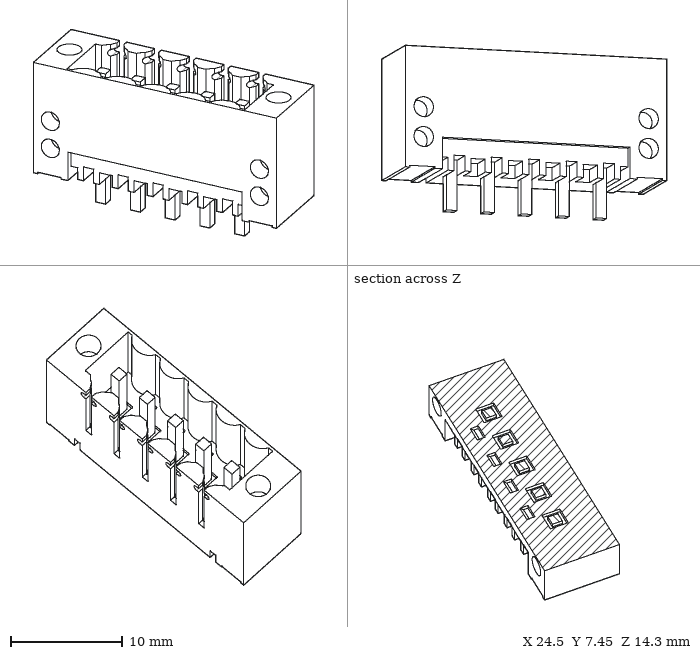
import cadquery as cq
import math


LENGTH = 24.5
DEPTH = 7.45
HEIGHT = 11.07

PIN_COUNT = 5
PITCH = 3.5
PIN_SIZE = 1.0
PIN_Y = 3.5
PIN_TOP = 9.87
PIN_BOTTOM = -3.18
PIN_FRONT = PIN_Y - PIN_SIZE / 2

CAVITY_LENGTH = 17.93
CAVITY_FRONT = 0.27
CAVITY_BACK = 5.83
FLOOR_Z = 4.0
CAVITY_HEIGHT = HEIGHT - FLOOR_Z

RIB_RADIUS = 1.65
FLUTE_RADIUS = 1.67
RIB_CREST_Y = 1.15
FLUTE_CENTRE_Y = 4.83
FLUTE_BOTTOM_Y = 6.93
FLUTE_CORNER_X = 0.7

NOTCH_WIDTH = 0.69
NOTCH_STEP = 0.37
NOTCH_BOTTOM = FLOOR_Z + NOTCH_STEP
LATCH_WIDTH = 1.85
LATCH_HEIGHT = 0.64
LATCH_BOTTOM = 9.92

FLOOR_RECESS_DEPTH = 0.37
PIN_RECESS_SIZE = 1.75
KEY_LENGTH = 1.42
KEY_FRONT = 1.15
KEY_BACK = 1.95

FACE_RECESS_LENGTH = 17.55
FACE_RECESS_DEPTH = 0.61
FACE_RECESS_HEIGHT = 2.87
FEET_LENGTH = 16.17
FOOT_HEIGHT = 1.18
FOOT_GAP = 1.3
PIN_SLOT_HEIGHT = 1.4
END_GROOVE_LENGTH = 2.35
END_GROOVE_HEIGHT = 0.15
END_GROOVE_X = 10.65

END_HOLE_X = 10.54
TOP_HOLE_Y = 3.77
TOP_HOLE_DIAMETER = 2.23
TOP_HOLE_DEPTH = 2.95
FRONT_HOLE_DIAMETER = 1.81
FRONT_HOLE_DEPTH = 1.95
FRONT_HOLE_HEIGHTS = [2.85, 5.55]

SIDES = (-1, 1)
PIN_XS = [(i - (PIN_COUNT - 1) / 2) * PITCH for i in range(PIN_COUNT)]
GAP_XS = [x + PITCH / 2 for x in PIN_XS[:-1]]


def box(x, length, y_front, y_back, z_bottom, z_top):
    """Box centred on x, between the given Y and Z limits."""
    return (
        cq.Workplane("XY")
        .box(length, y_back - y_front, z_top - z_bottom, centered=(True, False, False))
        .translate((x, y_front, z_bottom))
    )


def front_rib(x):
    """Rounded rib on the front wall of the cavity, up to the housing top."""
    centre_y = RIB_CREST_Y - RIB_RADIUS
    half_chord = math.sqrt(RIB_RADIUS**2 - (CAVITY_FRONT - centre_y) ** 2)
    return (
        cq.Workplane("XY", origin=(x, 0, FLOOR_Z))
        .moveTo(-half_chord, CAVITY_FRONT)
        .threePointArc((0, RIB_CREST_Y), (half_chord, CAVITY_FRONT))
        .close()
        .extrude(CAVITY_HEIGHT)
    )


def back_flute(x):
    """Flute in the back wall: an arc on each side, leading by a slanted face to a flat bottom."""

    def arc_y(dx):
        return FLUTE_CENTRE_Y + math.sqrt(FLUTE_RADIUS**2 - dx**2)

    mouth_x = math.sqrt(FLUTE_RADIUS**2 - (CAVITY_BACK - FLUTE_CENTRE_Y) ** 2)
    mid_x = (mouth_x + FLUTE_CORNER_X) / 2
    bottom_x = NOTCH_WIDTH / 2
    return (
        cq.Workplane("XY", origin=(x, 0, FLOOR_Z))
        .moveTo(-mouth_x, CAVITY_BACK)
        .threePointArc((-mid_x, arc_y(mid_x)), (-FLUTE_CORNER_X, arc_y(FLUTE_CORNER_X)))
        .lineTo(-bottom_x, FLUTE_BOTTOM_Y)
        .lineTo(bottom_x, FLUTE_BOTTOM_Y)
        .lineTo(FLUTE_CORNER_X, arc_y(FLUTE_CORNER_X))
        .threePointArc((mid_x, arc_y(mid_x)), (mouth_x, CAVITY_BACK))
        .close()
        .extrude(CAVITY_HEIGHT)
    )


def latch_opening(x):
    """Narrow notch through the back wall, crossed near its top by a wider round-ended slot."""
    slot = (
        cq.Workplane("XZ", origin=(x, DEPTH, LATCH_BOTTOM + LATCH_HEIGHT / 2))
        .slot2D(LATCH_WIDTH, LATCH_HEIGHT)
        .extrude(DEPTH - CAVITY_BACK)
    )
    return slot.union(box(x, NOTCH_WIDTH, CAVITY_BACK, DEPTH, NOTCH_BOTTOM, HEIGHT))


def pin_recess(x):
    """Shallow square recess in the cavity floor around a pin."""
    half = PIN_RECESS_SIZE / 2
    return box(x, PIN_RECESS_SIZE, PIN_Y - half, PIN_Y + half, FLOOR_Z - FLOOR_RECESS_DEPTH, FLOOR_Z)


def key_recess(x):
    """Floor recess between two pins, with a 45 degree ramp at its front."""
    bottom_z = FLOOR_Z - FLOOR_RECESS_DEPTH
    return (
        cq.Workplane("YZ", origin=(x - KEY_LENGTH / 2, 0, 0))
        .moveTo(KEY_FRONT, FLOOR_Z)
        .lineTo(KEY_FRONT + FLOOR_RECESS_DEPTH, bottom_z)
        .lineTo(KEY_BACK, bottom_z)
        .lineTo(KEY_BACK, FLOOR_Z)
        .close()
        .extrude(KEY_LENGTH)
    )


def cut_cavity(body):
    """Open the plug cavity, with its scalloped walls, latch openings and floor recesses."""
    cavity = box(0, CAVITY_LENGTH, CAVITY_FRONT, CAVITY_BACK, FLOOR_Z, HEIGHT)
    for x in PIN_XS:
        cavity = cavity.cut(front_rib(x)).union(back_flute(x))
    body = body.cut(cavity)
    for x in PIN_XS:
        body = body.cut(latch_opening(x)).cut(pin_recess(x))
    for x in GAP_XS:
        body = body.cut(key_recess(x))
    return body


def cut_underside(body):
    """Recess the lower front face and leave a row of feet, split by slots between and at the pins."""
    body = body.cut(box(0, FACE_RECESS_LENGTH, 0, FACE_RECESS_DEPTH, 0, FACE_RECESS_HEIGHT))
    for x in GAP_XS:
        body = body.cut(box(x, FOOT_GAP, FACE_RECESS_DEPTH, PIN_FRONT, 0, FOOT_HEIGHT))
    for x in PIN_XS:
        body = body.cut(box(x, PIN_SIZE, FACE_RECESS_DEPTH, PIN_FRONT, 0, PIN_SLOT_HEIGHT))
    end_gap = (FACE_RECESS_LENGTH - FEET_LENGTH) / 2
    end_gap_x = (FACE_RECESS_LENGTH + FEET_LENGTH) / 4
    for side in SIDES:
        body = body.cut(box(side * end_gap_x, end_gap, 0, DEPTH, 0, FOOT_HEIGHT))
        body = body.cut(box(side * END_GROOVE_X, END_GROOVE_LENGTH, 0, DEPTH, 0, END_GROOVE_HEIGHT))
    return body


def cut_end_holes(body):
    """Drill the blind holes into the top and the front of both end blocks."""
    for side in SIDES:
        x = side * END_HOLE_X
        top_hole = (
            cq.Workplane("XY", origin=(x, TOP_HOLE_Y, HEIGHT))
            .circle(TOP_HOLE_DIAMETER / 2)
            .extrude(-TOP_HOLE_DEPTH)
        )
        body = body.cut(top_hole)
        for z in FRONT_HOLE_HEIGHTS:
            front_hole = (
                cq.Workplane("XZ", origin=(x, 0, z))
                .circle(FRONT_HOLE_DIAMETER / 2)
                .extrude(-FRONT_HOLE_DEPTH)
            )
            body = body.cut(front_hole)
    return body


def make_pin(x):
    """Straight square pin."""
    half = PIN_SIZE / 2
    return box(x, PIN_SIZE, PIN_Y - half, PIN_Y + half, PIN_BOTTOM, PIN_TOP)


def make_housing(pins):
    """Housing with a fitting hole for every pin."""
    body = box(0, LENGTH, 0, DEPTH, 0, HEIGHT)
    body = cut_cavity(body)
    body = cut_underside(body)
    body = cut_end_holes(body)
    for pin in pins:
        body = body.cut(pin)
    return body


pins = [make_pin(x) for x in PIN_XS]
housing = make_housing(pins)

result = cq.Compound.makeCompound([housing.val(), *[pin.val() for pin in pins]])